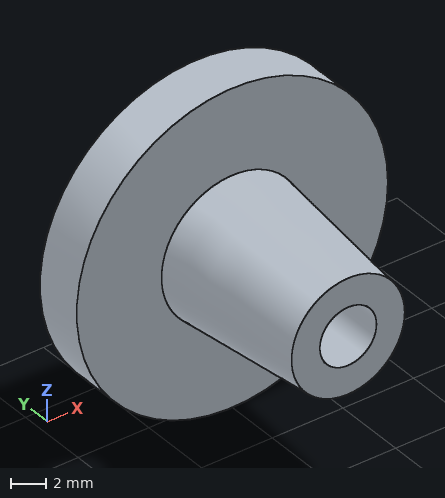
import cadquery as cq

flange_diameter = 22.0
flange_thickness = 3.5

overall_length = 14.5
hub_base_diameter = 10.0
hub_tip_diameter = 8.0

bore_diameter = 4.0

bore_radius = bore_diameter / 2
hub_length = overall_length - flange_thickness

half_section = (
    cq.Workplane("XY")
    .moveTo(bore_radius, -hub_length)
    .lineTo(hub_tip_diameter / 2, -hub_length)
    .lineTo(hub_base_diameter / 2, 0)
    .lineTo(flange_diameter / 2, 0)
    .lineTo(flange_diameter / 2, flange_thickness)
    .lineTo(bore_radius, flange_thickness)
    .close()
)

result = half_section.revolve(360, (0, 0, 0), (0, 1, 0))